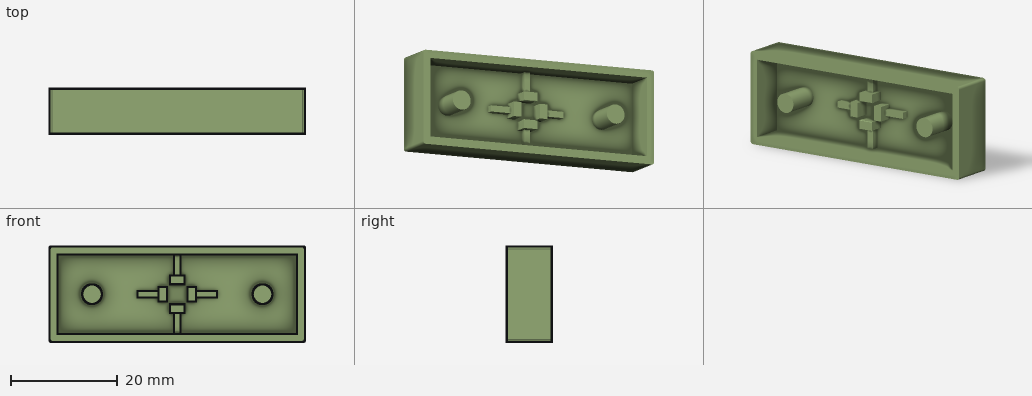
import cadquery as cq

length = 48.0
depth = 8.5
height = 18.0
wall = 1.5
floor_thickness = 2.0
corner_radius = 0.5

pin_diameter = 3.7
pin_offset = 16.0

pad_inner = 1.9
pad_outer = 3.5
pad_width = 2.8
pad_height = 3.0
rib_width = 1.2
rib_end = height / 2 - wall
rib_height = 1.5

lip_length = 0.9
lip_rise = 0.1
lip_bevel = lip_rise

rim_y = -depth / 2
floor_y = depth / 2 - floor_thickness


def make_shell():
    body = cq.Workplane("XY").box(length, depth, height).edges("|Y").fillet(corner_radius)
    cavity_depth = depth - floor_thickness
    cavity = cq.Workplane("XY").box(length - 2 * wall, cavity_depth, height - 2 * wall)
    return body.cut(cavity.translate((0, (rim_y + floor_y) / 2, 0)))


def floor_plane():
    """Workplane on the floor whose normal points out of the opening."""
    return cq.Workplane("XZ", origin=(0, floor_y, 0))


def make_pins():
    pin_length = floor_y - rim_y
    centers = [(-pin_offset, 0), (pin_offset, 0)]
    return floor_plane().pushPoints(centers).circle(pin_diameter / 2).extrude(pin_length)


def make_bar(start, end, width, rise):
    """Block on the floor running along +X from start to end."""
    return floor_plane().center((start + end) / 2, 0).rect(end - start, width).extrude(rise)


def make_clip():
    pad = make_bar(pad_inner, pad_outer, pad_width, pad_height)
    rib = make_bar(pad_outer, rib_end, rib_width, rib_height)
    return pad.union(rib)


def make_lip():
    """Ridge on the inner face of a pad, facing the centre."""
    tip_y = floor_y - pad_height
    lip_inner = pad_inner - lip_rise
    profile = [
        (pad_inner, tip_y),
        (lip_inner, tip_y + lip_bevel),
        (lip_inner, tip_y + lip_length),
        (pad_inner, tip_y + lip_length),
    ]
    return cq.Workplane("XY").polyline(profile).close().extrude(pad_width / 2, both=True)


def turn(shape, angle):
    """Rotate a shape about the Y axis through the part centre."""
    return shape.rotate((0, 0, 0), (0, 1, 0), angle)


result = make_shell().union(make_pins())
for clip_angle in (0, 90, 180, 270):
    result = result.union(turn(make_clip(), clip_angle))
for lip_angle in (90, 270):
    result = result.union(turn(make_lip(), lip_angle))